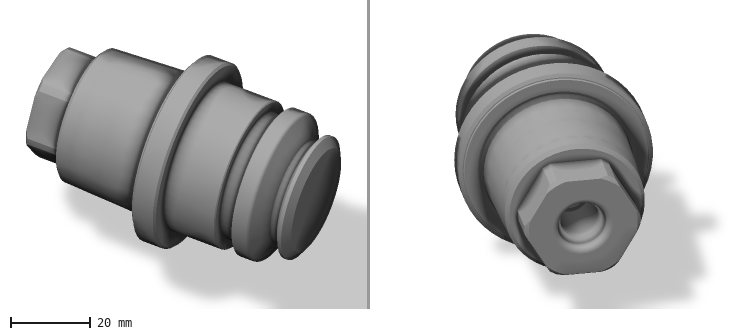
import cadquery as cq
import math

TOTAL_LENGTH = 75

HEX_FLATS = 27
HEX_CORNER_DIAMETER = 30
HEX_LENGTH = 10.0
HEX_EDGE_CHAMFER = 0.2
HEX_CORNER_CHAMFER = 1.0

TAPER_RADIAL_SLOPE = 0.05
TAPER_END_X = 33
TAPER_END_DIAMETER = 38.25
NUT_END_X = 17.85
NUT_FACE_DIAMETER = 34.0
NUT_CHAMFER = 1.0

NUT_BORE_DIAMETER = 10.1
COUNTERBORE_DIAMETER = 12.5
COUNTERBORE_DEPTH = 3
COUNTERBORE_ROUNDING = 1.5

BLIND_BORE_DIAMETER = 7.1
BLIND_BORE_MOUTH = 8.0
BLIND_BORE_DEPTH = 10.0

UNDERCUT_START_X = 33.8
UNDERCUT_DIAMETER = 37.9
UNDERCUT_FACE_DEPTH = 0.3
UNDERCUT_OUTER_DIAMETER = 40.65
UNDERCUT_ROUNDING = 0.7

FLANGE_DIAMETER = 50.0
FLANGE_FRONT_X = 34.8
FLANGE_REAR_X = 42
FLANGE_FRONT_CHAMFER_WIDTH = 0.9
FLANGE_FRONT_CHAMFER_LENGTH = 0.5
PAD_DIAMETER = 47.7
PAD_HEIGHT = 0.45
PAD_CHAMFER = 0.2
FLANGE_REAR_CHAMFER = 0.6

BARREL_DIAMETER = 40.0
GROOVE_DIAMETER = 34.0
GROOVE_START_X = 56.4
GROOVE_END_X = 61.0
SMALL_ROUNDING = 0.4
SMALL_CHAMFER = 0.3

CONE_ANGLE = 60
CONE_END_X = 69.1
CONE_ROUNDING = 1.05
NECK_DIAMETER = 28.0
NECK_END_X = 70.9
COLLAR_DIAMETER = 33.2
COLLAR_CREST_END_X = 73.4


def taper_radius(x):
    """Radius of the shared taper at x."""
    return TAPER_END_DIAMETER / 2 - TAPER_RADIAL_SLOPE * (TAPER_END_X - x)


def turned(profile):
    """Revolve a closed profile of (x, radius) about the X axis."""
    return profile.close().revolve(360, (0, 0, 0), (1, 0, 0))


def make_hexagon():
    hexagon_circumdiameter = HEX_FLATS / math.cos(math.radians(30))
    hexagon = cq.Workplane("YZ").polygon(6, hexagon_circumdiameter).extrude(HEX_LENGTH)
    hexagon = hexagon.faces("<X").chamfer(HEX_EDGE_CHAMFER)
    corner_radius = HEX_CORNER_DIAMETER / 2
    corner_envelope = turned(
        cq.Workplane("XY")
        .lineTo(0, corner_radius - HEX_CORNER_CHAMFER)
        .lineTo(HEX_CORNER_CHAMFER, corner_radius)
        .lineTo(HEX_LENGTH, corner_radius)
        .lineTo(HEX_LENGTH, 0)
    )
    return hexagon.intersect(corner_envelope)


def make_nut_hole():
    bore_radius = NUT_BORE_DIAMETER / 2
    counterbore_radius = COUNTERBORE_DIAMETER / 2
    return turned(
        cq.Workplane("XY")
        .lineTo(0, counterbore_radius + COUNTERBORE_ROUNDING)
        .radiusArc((COUNTERBORE_ROUNDING, counterbore_radius), -COUNTERBORE_ROUNDING)
        .lineTo(COUNTERBORE_DEPTH, counterbore_radius)
        .lineTo(COUNTERBORE_DEPTH + counterbore_radius - bore_radius, bore_radius)
        .lineTo(NUT_END_X, bore_radius)
        .lineTo(NUT_END_X, 0)
    )


def make_nut():
    chamfer_end_x = HEX_LENGTH + NUT_CHAMFER
    tapered_ring = turned(
        cq.Workplane("XY")
        .moveTo(HEX_LENGTH, 0)
        .lineTo(HEX_LENGTH, NUT_FACE_DIAMETER / 2)
        .lineTo(chamfer_end_x, taper_radius(chamfer_end_x))
        .lineTo(NUT_END_X, taper_radius(NUT_END_X))
        .lineTo(NUT_END_X, 0)
    )
    return make_hexagon().union(tapered_ring).cut(make_nut_hole())


def make_housing():
    flange_radius = FLANGE_DIAMETER / 2
    pad_radius = PAD_DIAMETER / 2
    pad_base_x = FLANGE_FRONT_X + PAD_HEIGHT
    barrel_radius = BARREL_DIAMETER / 2
    groove_radius = GROOVE_DIAMETER / 2
    neck_radius = NECK_DIAMETER / 2
    collar_radius = COLLAR_DIAMETER / 2
    undercut_radius = UNDERCUT_DIAMETER / 2
    undercut_x = FLANGE_FRONT_X + UNDERCUT_FACE_DEPTH
    mouth_radius = BLIND_BORE_MOUTH / 2
    bore_radius = BLIND_BORE_DIAMETER / 2
    bore_bottom_x = NUT_END_X + BLIND_BORE_DEPTH

    cone_slope = math.tan(math.radians(CONE_ANGLE))
    cone_corner_x = CONE_END_X - (barrel_radius - neck_radius) / cone_slope
    tangent_length = CONE_ROUNDING * math.tan(math.radians(CONE_ANGLE / 2))
    rounding_end = (
        cone_corner_x + tangent_length * math.cos(math.radians(CONE_ANGLE)),
        barrel_radius - tangent_length * math.sin(math.radians(CONE_ANGLE)),
    )
    collar_crest_x = NECK_END_X + (collar_radius - neck_radius) / cone_slope

    profile = (
        cq.Workplane("XY")
        .moveTo(bore_bottom_x, 0)
        .lineTo(bore_bottom_x, bore_radius)
        .lineTo(NUT_END_X + mouth_radius - bore_radius, bore_radius)
        .lineTo(NUT_END_X, mouth_radius)
        .lineTo(NUT_END_X, taper_radius(NUT_END_X))
        .lineTo(TAPER_END_X, taper_radius(TAPER_END_X))
        .lineTo(UNDERCUT_START_X, undercut_radius)
        .lineTo(undercut_x - UNDERCUT_ROUNDING, undercut_radius)
        .radiusArc((undercut_x, undercut_radius + UNDERCUT_ROUNDING), -UNDERCUT_ROUNDING)
        .lineTo(FLANGE_FRONT_X, UNDERCUT_OUTER_DIAMETER / 2)
        .lineTo(FLANGE_FRONT_X, pad_radius - PAD_CHAMFER)
        .lineTo(FLANGE_FRONT_X + PAD_CHAMFER, pad_radius)
        .lineTo(pad_base_x, pad_radius)
        .lineTo(pad_base_x, flange_radius - FLANGE_FRONT_CHAMFER_WIDTH)
        .lineTo(pad_base_x + FLANGE_FRONT_CHAMFER_LENGTH, flange_radius)
        .lineTo(FLANGE_REAR_X - FLANGE_REAR_CHAMFER, flange_radius)
        .lineTo(FLANGE_REAR_X, flange_radius - FLANGE_REAR_CHAMFER)
        .lineTo(FLANGE_REAR_X, barrel_radius + SMALL_ROUNDING)
        .radiusArc((FLANGE_REAR_X + SMALL_ROUNDING, barrel_radius), -SMALL_ROUNDING)
        .lineTo(GROOVE_START_X - SMALL_CHAMFER, barrel_radius)
        .lineTo(GROOVE_START_X, barrel_radius - SMALL_CHAMFER)
        .lineTo(GROOVE_START_X, groove_radius + SMALL_ROUNDING)
        .radiusArc((GROOVE_START_X + SMALL_ROUNDING, groove_radius), -SMALL_ROUNDING)
        .lineTo(GROOVE_END_X - SMALL_ROUNDING, groove_radius)
        .radiusArc((GROOVE_END_X, groove_radius + SMALL_ROUNDING), -SMALL_ROUNDING)
        .lineTo(GROOVE_END_X, barrel_radius - SMALL_CHAMFER)
        .lineTo(GROOVE_END_X + SMALL_CHAMFER, barrel_radius)
        .lineTo(cone_corner_x - tangent_length, barrel_radius)
        .radiusArc(rounding_end, CONE_ROUNDING)
        .lineTo(CONE_END_X, neck_radius)
        .lineTo(NECK_END_X, neck_radius)
        .lineTo(collar_crest_x, collar_radius)
        .lineTo(COLLAR_CREST_END_X, collar_radius)
        .lineTo(TOTAL_LENGTH, neck_radius)
        .lineTo(TOTAL_LENGTH, 0)
    )
    return turned(profile)


nut = make_nut()
housing = make_housing()
result = cq.Compound.makeCompound([nut.val(), housing.val()])